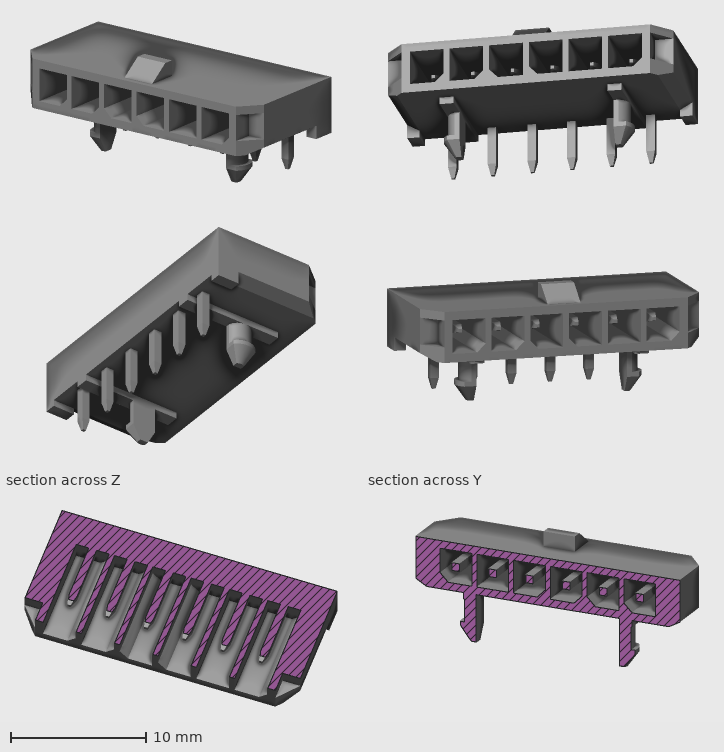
import cadquery as cq

LENGTH = 21.65
DEPTH = 9.9
HEIGHT = 3.85
CORNER_X = 1.38
CORNER_Y = 1.62

PITCH = 3.0
CAVITY_SIZE = 2.55
CAVITY_DEPTH = 7.35
CAVITY_BOTTOM = 0.65
CAVITY_CHAMFER = 0.65
CAVITY_KEYS = (1, 1, -1, -1, 0, 1)
CONTACT_Z = CAVITY_BOTTOM + CAVITY_SIZE / 2

PIN_SIZE = 0.65
PIN_POINT_SIZE = 0.25
PIN_POINT_LENGTH = 0.85
PIN_FRONT_Y = 2.16
TAIL_FROM_BACK = 1.0
TAIL_BOTTOM = -3.7
TAIL_Y = DEPTH - TAIL_FROM_BACK

RECESS_BOTTOM = 1.17
RECESS_TOP = CAVITY_BOTTOM + CAVITY_SIZE

FOOT_WIDTH = 0.93
FOOT_LENGTH = 1.85
STANDOFF = 0.52
UNDERCUT_HEIGHT = 0.52

LATCH_WIDTH = 2.55
LATCH_HEIGHT = 1.21
LATCH_FRONT = 0.52
LATCH_CREST = 2.15
LATCH_BACK = 2.95

PEG_FLAT_X = 5.85
PEG_Y = 4.57
PEG_RADIUS = 1.05
PEG_WIDTH = 2.0
HOOK_RADIUS = 1.36
HOOK_TOP = -2.27
HOOK_TAPER_TOP = -2.62
PEG_BOTTOM = -3.8
PEG_TIP_RADIUS = 0.52
PEG_TIP_WIDTH = 0.7
RAIL_FRONT = 1.6


def box(x_min, x_max, y_min, y_max, z_min, z_max):
    size = (x_max - x_min, y_max - y_min, z_max - z_min)
    return cq.Workplane("XY").box(*size, centered=False).translate((x_min, y_min, z_min))


def both_ends(left):
    """A feature of the -X end together with its mirror image at the +X end."""
    return left.union(left.mirror("YZ"))


def housing():
    half = LENGTH / 2
    outline = [
        (-half, DEPTH),
        (-half, CORNER_Y),
        (-half + CORNER_X, 0),
        (half - CORNER_X, 0),
        (half, CORNER_Y),
        (half, DEPTH),
    ]
    return cq.Workplane("XY").polyline(outline).close().extrude(HEIGHT)


def corner_recess():
    return box(-LENGTH / 2, -LENGTH / 2 + CORNER_X, 0, CORNER_Y, RECESS_BOTTOM, RECESS_TOP)


def side_undercut():
    edge = -LENGTH / 2
    profile = [(edge, 0), (edge + FOOT_WIDTH, 0), (edge, UNDERCUT_HEIGHT)]
    length = DEPTH - FOOT_LENGTH
    return cq.Workplane("XZ").polyline(profile).close().extrude(-length)


def foot():
    edge = -LENGTH / 2
    return box(edge, edge + FOOT_WIDTH, DEPTH - FOOT_LENGTH, DEPTH, -STANDOFF, 0)


def latch():
    profile = [
        (LATCH_FRONT, HEIGHT),
        (LATCH_CREST, HEIGHT + LATCH_HEIGHT),
        (LATCH_BACK, HEIGHT + LATCH_HEIGHT),
        (LATCH_BACK, HEIGHT),
    ]
    return cq.Workplane("YZ").polyline(profile).close().extrude(LATCH_WIDTH / 2, both=True)


def cavity(x, key):
    half = CAVITY_SIZE / 2
    cutter = box(x - half, x + half, 0, CAVITY_DEPTH, CAVITY_BOTTOM, CAVITY_BOTTOM + CAVITY_SIZE)
    if key == 0:
        return cutter
    corner_x = x + key * half
    corner = [
        (corner_x, CAVITY_BOTTOM),
        (corner_x - key * CAVITY_CHAMFER, CAVITY_BOTTOM),
        (corner_x, CAVITY_BOTTOM + CAVITY_CHAMFER),
    ]
    return cutter.cut(cq.Workplane("XZ").polyline(corner).close().extrude(-CAVITY_DEPTH))


def pointed_wire(plane, length):
    """Square wire along the plane normal, tapering to a blunt point at its far end."""
    shank_length = length - PIN_POINT_LENGTH
    shank = cq.Workplane(plane).rect(PIN_SIZE, PIN_SIZE).extrude(shank_length)
    point = (
        cq.Workplane(plane)
        .workplane(offset=shank_length)
        .rect(PIN_SIZE, PIN_SIZE)
        .workplane(offset=PIN_POINT_LENGTH)
        .rect(PIN_POINT_SIZE, PIN_POINT_SIZE)
        .loft(ruled=True)
    )
    return shank.union(point)


def pin(x):
    bend = (x, TAIL_Y, CONTACT_Z)
    forward = cq.Plane(origin=bend, xDir=(1, 0, 0), normal=(0, -1, 0))
    down = cq.Plane(origin=bend, xDir=(1, 0, 0), normal=(0, 0, -1))
    contact = pointed_wire(forward, TAIL_Y - PIN_FRONT_Y)
    tail = pointed_wire(down, CONTACT_Z - TAIL_BOTTOM)
    return contact.union(tail)


def peg():
    profile = [
        (0, 0),
        (PEG_RADIUS, 0),
        (PEG_RADIUS, HOOK_TOP),
        (HOOK_RADIUS, HOOK_TOP),
        (HOOK_RADIUS, HOOK_TAPER_TOP),
        (PEG_TIP_RADIUS, PEG_BOTTOM),
        (0, PEG_BOTTOM),
    ]
    round_peg = cq.Workplane("XZ").polyline(profile).close().revolve(360, (0, 0), (0, 1))
    half_width = PEG_WIDTH / 2
    half_tip = PEG_TIP_WIDTH / 2
    sides = [
        (-half_width, 0),
        (-half_width, HOOK_TAPER_TOP),
        (-half_tip, PEG_BOTTOM),
        (half_tip, PEG_BOTTOM),
        (half_width, HOOK_TAPER_TOP),
        (half_width, 0),
    ]
    outward_half = cq.Workplane("YZ").polyline(sides).close().extrude(-HOOK_RADIUS)
    return round_peg.intersect(outward_half).translate((-PEG_FLAT_X, PEG_Y, 0))


def peg_rail():
    return box(-PEG_FLAT_X - PEG_RADIUS, -PEG_FLAT_X, RAIL_FRONT, DEPTH, -STANDOFF, 0)


result = housing()
result = result.cut(both_ends(corner_recess())).cut(both_ends(side_undercut()))
result = result.union(both_ends(foot())).union(latch())
result = result.union(both_ends(peg_rail())).union(both_ends(peg()))

first_x = -PITCH * (len(CAVITY_KEYS) - 1) / 2
for index, key in enumerate(CAVITY_KEYS):
    circuit_x = first_x + index * PITCH
    result = result.cut(cavity(circuit_x, key)).union(pin(circuit_x))